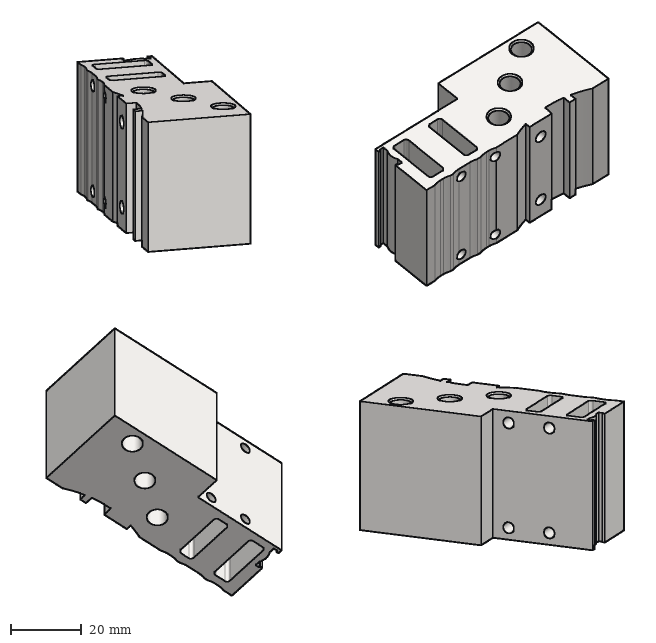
import cadquery as cq
import math

length = 68.4
depth = 30.3
height = 38.0

thin_depth = 22.0
step_x = 30.85

wave_depth = 0.4
wave_arc_run = 2.4
wave_grooves = [(3.0, 8.95), (10.05, 19.0), (20.3, 26.1)]

hollow_start = 34.05
hollow_end = 62.4
hollow_rise = 3.0
pad_start = 38.7
pad_end = 47.0
pad_wall_lean = 0.2
rib_start = 53.75
rib_end = 55.95

channel_y = 17.0
mouth_width = 7.1
undercut_width = 8.0
lip_thickness = 0.8
channel_depth = 2.1
crown_width = 4.5
crown_height = 0.58

window_front = 2.95
window_back = 19.5
window_sides = [(4.05, 9.45), (17.4, 22.1)]
window_corner_radius = 1.0

bore_diameter = 5.95
countersink_diameter = 7.0
countersink_angle = 90
bore_middle = (46.4, 17.2)
bore_pitch_x = 11.5
bore_pitch_y = 8.3

cross_hole_diameter = 3.3
cross_hole_columns = [13.4, 26]
cross_hole_spacing = 30.9
blind_hole_diameter = 3.7
blind_hole_x = 42.9
blind_hole_spacing = 25.0
blind_hole_depth = 8.2
drill_tip_angle = 120


def prism(sketch):
    """Extrude a closed XY outline over the full height."""
    return sketch.close().extrude(height)


def body():
    return prism(
        cq.Workplane("XY")
        .lineTo(length, 0)
        .lineTo(length, depth)
        .lineTo(step_x, depth)
        .lineTo(step_x, thin_depth)
        .lineTo(0, thin_depth)
    )


def wave_groove(start, end):
    radius = (wave_arc_run**2 + wave_depth**2) / (2 * wave_depth)
    half_run = wave_arc_run / 2
    arc_mid_y = wave_depth - radius + math.sqrt(radius**2 - half_run**2)
    return prism(
        cq.Workplane("XY")
        .moveTo(start, 0)
        .threePointArc((start + half_run, arc_mid_y), (start + wave_arc_run, wave_depth))
        .lineTo(end - wave_arc_run, wave_depth)
        .threePointArc((end - half_run, arc_mid_y), (end, 0))
    )


def front_hollow():
    middle_x = (hollow_start + hollow_end) / 2
    hollow = prism(
        cq.Workplane("XY")
        .moveTo(hollow_start, 0)
        .threePointArc((middle_x, hollow_rise), (hollow_end, 0))
    )
    pad = prism(
        cq.Workplane("XY")
        .moveTo(pad_start, 0)
        .lineTo(pad_end, 0)
        .lineTo(pad_end + pad_wall_lean, hollow_rise)
        .lineTo(pad_start, hollow_rise)
    )
    rib = cq.Workplane("XY").box(rib_end - rib_start, hollow_rise, height, centered=False)
    return hollow.cut(pad).cut(rib.translate((rib_start, 0, 0)))


def side_channel():
    mouth_front = channel_y - mouth_width / 2
    mouth_back = channel_y + mouth_width / 2
    undercut_front = channel_y - undercut_width / 2
    undercut_back = channel_y + undercut_width / 2
    return prism(
        cq.Workplane("XY")
        .moveTo(0, mouth_front)
        .lineTo(lip_thickness, mouth_front)
        .lineTo(lip_thickness, undercut_front)
        .lineTo(channel_depth, undercut_front)
        .lineTo(channel_depth, channel_y - crown_width / 2)
        .threePointArc(
            (channel_depth - crown_height, channel_y),
            (channel_depth, channel_y + crown_width / 2),
        )
        .lineTo(channel_depth, undercut_back)
        .lineTo(lip_thickness, undercut_back)
        .lineTo(lip_thickness, mouth_back)
        .lineTo(0, mouth_back)
    )


def window(left, right):
    return (
        cq.Workplane("XY")
        .box(right - left, window_back - window_front, height, centered=False)
        .edges("|Z")
        .fillet(window_corner_radius)
        .translate((left, window_front, 0))
    )


def hole_along_y(x, z, diameter, hole_depth):
    return cq.Workplane("XZ", origin=(x, 0, z)).circle(diameter / 2).extrude(-hole_depth)


def blind_hole(x, z):
    radius = blind_hole_diameter / 2
    tip_length = radius / math.tan(math.radians(drill_tip_angle / 2))
    half_section = (
        cq.Workplane("XY")
        .lineTo(radius, 0)
        .lineTo(radius, blind_hole_depth)
        .lineTo(0, blind_hole_depth + tip_length)
        .close()
    )
    return half_section.revolve(360, (0, 0), (0, 1)).translate((x, 0, z))


def mirrored_heights(spacing):
    return [(height - spacing) / 2, (height + spacing) / 2]


result = body()

for start, end in wave_grooves:
    result = result.cut(wave_groove(start, end))

result = result.cut(front_hollow())
result = result.cut(side_channel())

for left, right in window_sides:
    result = result.cut(window(left, right))

bore_centers = [
    (bore_middle[0] + step * bore_pitch_x, bore_middle[1] + step * bore_pitch_y)
    for step in (-1, 0, 1)
]
result = (
    result.faces(">Z")
    .workplane(origin=(0, 0, height))
    .pushPoints(bore_centers)
    .cskHole(bore_diameter, countersink_diameter, countersink_angle)
)

for z in mirrored_heights(cross_hole_spacing):
    for x in cross_hole_columns:
        result = result.cut(hole_along_y(x, z, cross_hole_diameter, thin_depth))

for z in mirrored_heights(blind_hole_spacing):
    result = result.cut(blind_hole(blind_hole_x, z))